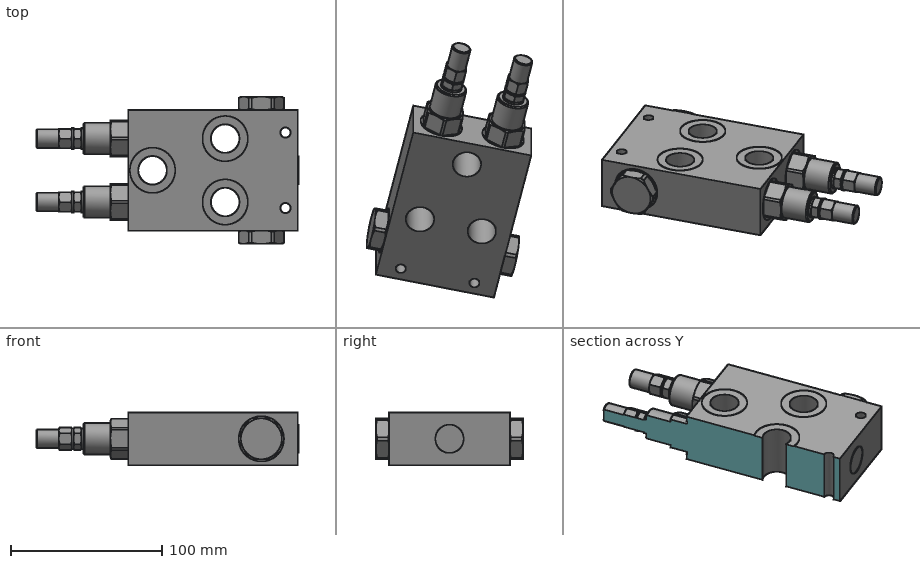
import math

import cadquery as cq

overall_length = 173.2
seal_projection = 0.5
seal_diameter = 18.7

block_length = 112.0
block_width = 80.0
block_height = 35.0
block_right = overall_length - seal_projection
block_left = block_right - block_length

seat_depth = 0.3

port_diameter = 18.7
port_seat_diameter = 30.0
right_port_x = 124.7
left_port_x = 76.7
mount_hole_diameter = 6.5
mount_hole_x = 164.5
mount_hole_y = 25.0

plug_x = 148.6
plug_height = 8.7
plug_across_flats = 27.0
plug_corner_diameter = 30.0
plug_face_diameter = 27.0
plug_chamfer_length = 0.9
plug_base_chamfer = 0.5

cartridge_y = 21.0
cartridge_seat_diameter = 28.0
main_hex_start = 48.8
main_hex_across_flats = 24.0
main_hex_corner_diameter = 26.8
main_hex_face_diameter = 23.9
main_hex_chamfer_length = 0.7
body_start = 31.0
body_diameter = 21.0
body_chamfer = 0.9
stud_diameter = 12.5
stud_chamfer = 0.7
nut_across_flats = 13.0
nut_corner_diameter = nut_across_flats / math.cos(math.pi / 6)
nut_chamfer_depth = 0.9
nut_chamfer_length = 0.5
adjuster_start = 14.9
adjuster_end = 23.4
locknut_start = 24.6
locknut_end = 29.6
collar_diameter = 14.0


def cylinder_x(y, start, end, diameter):
    """Round bar along X."""
    return cq.Workplane("YZ", origin=(start, y, 0)).circle(diameter / 2).extrude(end - start)


def hexagon_points(across_flats):
    """Corners of a hexagon whose flats face the second local axis."""
    corner_radius = across_flats / 2 / math.cos(math.pi / 6)
    angles = [i * math.pi / 3 for i in range(6)]
    return [(corner_radius * math.cos(a), corner_radius * math.sin(a)) for a in angles]


def hexagon_x(y, start, end, across_flats):
    """Hexagonal bar along X with flats facing +Y and -Y."""
    corners = [(v, u) for u, v in hexagon_points(across_flats)]
    return cq.Workplane("YZ", origin=(start, y, 0)).polyline(corners).close().extrude(end - start)


def make_block():
    block = cq.Workplane("XY").box(block_length, block_width, block_height)
    block = block.translate((block_right - block_length / 2, 0, 0))
    ports = [(right_port_x, cartridge_y), (right_port_x, -cartridge_y), (left_port_x, 0)]
    mount_holes = [(mount_hole_x, mount_hole_y), (mount_hole_x, -mount_hole_y)]
    top = cq.Workplane("XY", origin=(0, 0, block_height / 2))
    block = block.cut(top.pushPoints(ports).circle(port_diameter / 2).extrude(-block_height))
    block = block.cut(top.pushPoints(ports).circle(port_seat_diameter / 2).extrude(-seat_depth))
    return block.cut(top.pushPoints(mount_holes).circle(mount_hole_diameter / 2).extrude(-block_height))


def plug_seat():
    """Recess cutter for the plug on the -Y face."""
    seat = cq.Workplane("XZ", origin=(plug_x, -block_width / 2, 0))
    return seat.circle(plug_corner_diameter / 2).extrude(-seat_depth)


def make_plug():
    """Hexagonal plug head on the -Y face, standing on the floor of its recess."""
    base = cq.Workplane("XZ", origin=(plug_x, -block_width / 2 + seat_depth, 0))
    full_height = plug_height + seat_depth
    hexagon = base.polyline(hexagon_points(plug_across_flats)).close().extrude(full_height)
    turned = base.circle(plug_corner_diameter / 2).extrude(full_height)
    face_chamfer = (plug_corner_diameter - plug_face_diameter) / 2
    turned = turned.faces("<Y").chamfer(plug_chamfer_length, face_chamfer)
    foot_chamfer = plug_base_chamfer + seat_depth
    turned = turned.faces(">Y").chamfer(foot_chamfer, face_chamfer)
    return hexagon.intersect(turned)


def make_nut(y, start, end):
    """Small hexagonal nut with both ends chamfered."""
    turned = cylinder_x(y, start, end, nut_corner_diameter)
    for end_face in ("<X", ">X"):
        turned = turned.faces(end_face).chamfer(nut_chamfer_length, nut_chamfer_depth)
    return hexagon_x(y, start, end, nut_across_flats).intersect(turned)


def make_cartridge(y):
    """Stepped adjustable cartridge reaching out of the -X face of the block."""
    hex_end = block_left + seat_depth
    main_hex = cylinder_x(y, main_hex_start, hex_end, main_hex_corner_diameter)
    face_chamfer = (main_hex_corner_diameter - main_hex_face_diameter) / 2
    main_hex = main_hex.faces("<X").chamfer(main_hex_chamfer_length, face_chamfer)
    main_hex = main_hex.intersect(hexagon_x(y, main_hex_start, hex_end, main_hex_across_flats))

    cartridge = cylinder_x(y, 0, adjuster_start, stud_diameter).faces("<X").chamfer(stud_chamfer)
    cartridge = cartridge.union(make_nut(y, adjuster_start, adjuster_end))
    cartridge = cartridge.union(cylinder_x(y, adjuster_end, locknut_start, collar_diameter))
    cartridge = cartridge.union(make_nut(y, locknut_start, locknut_end))
    cartridge = cartridge.union(cylinder_x(y, locknut_end, body_start, collar_diameter))
    body = cylinder_x(y, body_start, main_hex_start, body_diameter).faces("<X").chamfer(body_chamfer)
    return cartridge.union(body).union(main_hex)


result = make_block()

result = result.cut(plug_seat()).cut(plug_seat().mirror("XZ"))
result = result.union(make_plug()).union(make_plug().mirror("XZ"))

for side_y in (cartridge_y, -cartridge_y):
    result = result.cut(cylinder_x(side_y, block_left, block_left + seat_depth, cartridge_seat_diameter))
    result = result.union(make_cartridge(side_y))

result = result.union(cylinder_x(0, block_right, overall_length, seal_diameter))